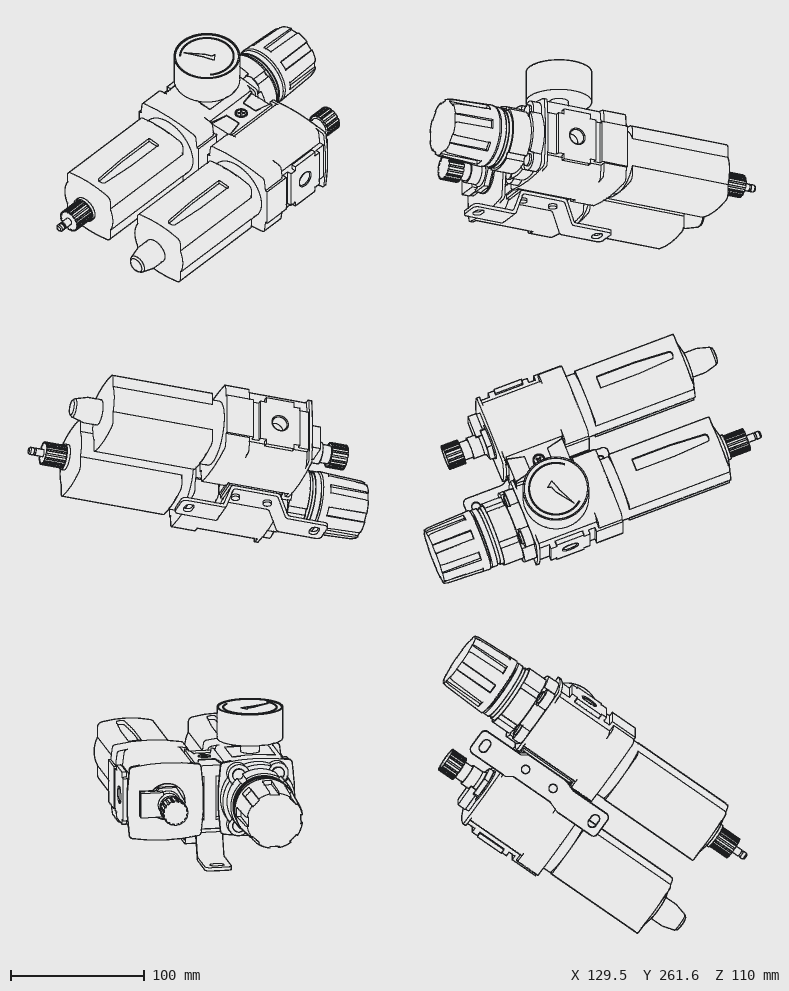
import cadquery as cq
import math

TOTAL_X = 129.5
UNIT_PITCH = 69.4
UNIT_X = UNIT_PITCH / 2
REGULATOR_X = -UNIT_X
LUBRICATOR_X = UNIT_X

PLATE_TOP = 26.2
PLATE_BOTTOM = 23.8
COLLAR_TOP = -23.5
HOUSING_BOTTOM = -42.1

CORNER_Z = 27.2
CROWN_Z = 29.8
COLLAR_CORNER_X = 27.0
COLLAR_CROWN_X = 29.0
CORE_CORNER_X = 21.5
CORE_CROWN_X = 23.8
COLLAR_ROUNDING = 2.5
CORE_ROUNDING = 3.1

NOTCH_HALF_X = 26.7
FACE_HALF_X = TOTAL_X / 2 - UNIT_X
BOSS_HALF_Z = 16.2
LOWER_BOSS_TOP = -21.0
PORT_FACE_HALF_Y = 15.7
PORT_LUG_HALF_Y = 11.0
PORT_LUG_HALF_Z = 20.2
PORT_DIAMETER = 11.5
PORT_MOUTH_DIAMETER = 13.0
PORT_MOUTH_DEPTH = 0.8
PORT_DEPTH = 10.5
DRILL_POINT_ANGLE = 118

FLANGE_RADIUS = 27.5
FLANGE_TOP = 35.5
BONNET_RADIUS = 24.3
BONNET_TOP = 50.5
RING_RADIUS = 22.8
RING_GROOVE_RADIUS = 43.7 / 2
RING_GROOVE_BOTTOM = 53.1
RING_GROOVE_TOP = 55.5
RING_TOP = 59.7
NECK_RADIUS = 18.8
NECK_TOP = 61.2
BOLT_X = 15.0
BOLT_Z = 19.6
BOLT_HEAD_RADIUS = 7.9
BOLT_HEAD_TOP = 33.0
BOLT_CAP_RADIUS = 4.7
BOLT_CAP_TOP = 34.5
BOLT_POCKET_RADIUS = 8.0
DRIVER_GROOVE_RADIUS = 2.5

KNOB_TOP = 97.6
KNOB_TOP_RADIUS = 22.0
KNOB_BASE_RADIUS = 46.9 / 2
KNOB_EDGE = 3.0
KNOB_EDGE_INSET = 0.8
KNOB_SLOT_COUNT = 8
KNOB_SLOT_WIDTH = 7.0
KNOB_SLOT_FLOOR = 20.0
KNOB_SLOT_BOTTOM = 67.0

GAUGE_RADIUS = 24.5
GAUGE_TOP = 63.0
GAUGE_BOTTOM = 39.0
GAUGE_STEM_RADIUS = 7.0
GAUGE_PAD_Z = 28.8
GAUGE_PAD_HALF_X = 16.5
GAUGE_PAD_HALF_Y = 14.7
DIAL_RADIUS = 23.5
DIAL_DEPTH = 0.5
SCALE_RADIUS = 20.5
SCALE_WIDTH = 0.8
SCALE_GAP_ANGLE = 100
MARK_HEIGHT = 0.3
NEEDLE = [(-15.5, -8.6), (-2.0, 1.0), (2.4, 2.5), (3.1, 5.5), (6.8, 0.8), (1.3, -1.3), (-1.5, -2.0)]

DOSER_X = 33.8
DOSER_FLANGE_RADIUS = 14.0
DOSER_FLANGE_TOP = 27.2
DOSER_NUT_FLATS = 23.3
DOSER_NUT_TOP = 31.1
DOSER_COLLAR_RADIUS = 16.5 / 2
DOSER_CONE_TOP = 33.8
DOSER_COLLAR_TOP = 42.1
DOSER_NECK_RADIUS = 14.0 / 2
DOSER_KNOB_RADIUS = 9.5
DOSER_KNOB_BOTTOM = 49.2
DOSER_KNOB_TOP = 61.8
DOSER_RIB_COUNT = 16
PLUG_LEFT = 38.0
PLUG_RIGHT = 55.0
PLUG_HALF_Z = 9.5
PLUG_STEP_TOP = 29.0
PLUG_TOP = 35.5
PLUG_STEP_INSET = 0.5

BOWL_RADIUS = 24.3
BOWL_SQUARE_TOP = -50.5
BOWL_HALF_X = 21.7
BOWL_CORNER_Z = 21.7
BOWL_CROWN_Z = 24.5
BOWL_ROUNDING = 4.2
BOWL_CONE_RADIUS = 10.7
BOWL_CONE_HEIGHT = 3.7
FILTER_BOWL_BOTTOM = -131.0
OIL_BOWL_BOTTOM = -129.3
WINDOW_LEFT = 1.0
WINDOW_WIDTH = 9.7
WINDOW_TOP_ABOVE_BOTTOM = 65.7
WINDOW_BEND_ABOVE_BOTTOM = 35.0
WINDOW_END_ABOVE_BOTTOM = 6.3
WINDOW_TAPER = 1.8
WINDOW_ROUNDING = 2.5
WINDOW_FLOOR_Z = 21.5

DRAIN_HUB_RADIUS = 9.7
DRAIN_HUB_BOTTOM = -137.0
DRAIN_KNOB_RADIUS = 8.6
DRAIN_KNOB_BOTTOM = -152.9
DRAIN_STEM_RADIUS = 5.5 / 2
DRAIN_GROOVE_RADIUS = 4.7 / 2
DRAIN_GROOVE_TOP = -159.1
DRAIN_GROOVE_BOTTOM = -160.5
DRAIN_TIP_RADIUS = 4.0 / 2
DRAIN_TIP_CHAMFER = 1.0
DRAIN_BOTTOM = -164.0
DRAIN_RIB_COUNT = 16

KNURL_GROOVE_DEPTH = 0.8
KNURL_GROOVE_WIDTH = 1.3

OUTLET_RADIUS = 9.7
OUTLET_TAPER_TOP = -143.5
OUTLET_TAPER_BOTTOM = -152.9
OUTLET_TAPER_RADIUS = 7.0
OUTLET_ROUND_RADIUS = 5.8
OUTLET_ROUND_BOTTOM = -154.5
OUTLET_END_RADIUS = 3.7
OUTLET_BOTTOM = -155.0

SPACER_HALF_Y = 22.2
SPACER_WEB_HALF_X = UNIT_X - FACE_HALF_X
SPACER_CLAMP_HALF_X = 11.0
SPACER_CLAMP_BOTTOM = 16.8
SPACER_TOP = 26.7
SPACER_FOOT_TOP = -23.8
SPACER_BOTTOM = -26.7
SPACER_FOOT_HALF_Y = 21.0
GRIP_OUTER_HALF_X = 9.5
GRIP_INNER_HALF_X = 6.3
GRIP_INNER_Y = 9.2
GRIP_INNER_DEPTH = 0.5
GRIP_OUTER_DEPTH = 1.5
SCREW_RADIUS = 9.2 / 2
SCREW_GAP = 0.8
SCREW_GAP_DEPTH = 1.3
SCREW_CROSS_LENGTH = 4.7
SCREW_CROSS_WIDTH = 1.0

BRACKET_HALF_X = 20.2 / 2
BRACKET_THICKNESS = 2.5
BRACKET_HALF_Y = 57.8
BRACKET_BOTTOM = -47.0
BRACKET_WEB_HALF_Y = 19.0
BRACKET_LEG_ANGLE = 20
BRACKET_BEND_RADIUS = 2.4
BRACKET_CORNER_RADIUS = 3.7
BRACKET_SLOT_Y = 49.7
BRACKET_SLOT_LENGTH = 10.5
BRACKET_SLOT_WIDTH = 6.5
BRACKET_PAD_Y = 12.5
BRACKET_PAD_RADIUS = 3.1
BRACKET_PAD_BOTTOM = -31.1


def turned(profile, x):
    """Solid of revolution about the Y direction at x; the profile lists (radius, y)."""
    return cq.Workplane("XY").polyline(profile).close().revolve(360, (0, 0), (0, 1)).translate((x, 0, 0))


def rod(x, z, radius, y_bottom, y_top):
    """Cylinder along Y."""
    return cq.Workplane("XZ", origin=(x, y_top, z)).circle(radius).extrude(y_top - y_bottom)


def block(x_range, y_range, z_range):
    """Box given by its limits along each axis."""
    (x0, x1), (y0, y1), (z0, z1) = x_range, y_range, z_range
    return cq.Workplane("XY").box(x1 - x0, y1 - y0, z1 - z0, centered=False).translate((x0, y0, z0))


def centred_block(x, half_x, y_range, half_z):
    return block((x - half_x, x + half_x), y_range, (-half_z, half_z))


def crowned_prism(x, y_range, half_x, side_x, corner_z, crown_z, rounding):
    """Prism along Y with crowned faces above and below; side_x is the half width at Z = 0."""
    y_bottom, y_top = y_range
    outline = cq.Workplane("XZ", origin=(x, y_top, 0)).moveTo(-half_x, -corner_z)
    outline = outline.threePointArc((0, -crown_z), (half_x, -corner_z))
    if side_x > half_x:
        outline = outline.threePointArc((side_x, 0), (half_x, corner_z))
    else:
        outline = outline.lineTo(half_x, corner_z)
    outline = outline.threePointArc((0, crown_z), (-half_x, corner_z))
    if side_x > half_x:
        outline = outline.threePointArc((-side_x, 0), (-half_x, -corner_z))
    prism = outline.close().extrude(y_top - y_bottom)
    return prism.edges("|Y").fillet(rounding)


def knurl_cutters(x, radius, y_bottom, y_top, count):
    """Small grooves along Y, spread evenly round a knob."""
    cutters = cq.Workplane("XY")
    for i in range(count):
        groove = block(
            (-KNURL_GROOVE_WIDTH / 2, KNURL_GROOVE_WIDTH / 2),
            (y_bottom, y_top),
            (radius - KNURL_GROOVE_DEPTH, radius + KNURL_GROOVE_DEPTH),
        )
        cutters = cutters.add(groove.rotate((0, 0, 0), (0, 1, 0), (i + 0.5) * 360 / count))
    return cutters.combine().translate((x, 0, 0))


def port(side):
    """Drilled port with a chamfered mouth in the outer side face; side is -1 or 1."""
    radius = PORT_DIAMETER / 2
    mouth = PORT_MOUTH_DIAMETER / 2
    tip = PORT_DEPTH + radius / math.tan(math.radians(DRILL_POINT_ANGLE / 2))
    face_x = side * (UNIT_X + FACE_HALF_X)
    profile = [(0, 0), (0, mouth), (PORT_MOUTH_DEPTH, radius), (PORT_DEPTH, radius), (tip, 0)]
    points = [(face_x - side * depth, r) for depth, r in profile]
    return cq.Workplane("XY").polyline(points).close().revolve(360, (0, 0), (1, 0))


def housing_block(x):
    """Body shared by both units: top plate, core, lower collar, side bosses and outer port."""
    def crowned_frame(y_range):
        return crowned_prism(
            x, y_range, COLLAR_CORNER_X, COLLAR_CROWN_X, CORNER_Z, CROWN_Z, COLLAR_ROUNDING
        )

    rise = CROWN_Z - CORNER_Z
    crown_radius = (COLLAR_CORNER_X ** 2 + rise ** 2) / (2 * rise)
    core_corner_z = CROWN_Z - crown_radius + math.sqrt(crown_radius ** 2 - CORE_CORNER_X ** 2)
    core_range = (COLLAR_TOP, PLATE_BOTTOM)
    body = crowned_prism(
        x, core_range, CORE_CORNER_X, CORE_CROWN_X, core_corner_z, CROWN_Z, CORE_ROUNDING
    )
    body = body.union(crowned_frame((PLATE_BOTTOM, PLATE_TOP)))
    body = body.union(crowned_frame((HOUSING_BOTTOM, COLLAR_TOP)))
    body = body.union(centred_block(x, NOTCH_HALF_X, core_range, BOSS_HALF_Z))
    body = body.union(centred_block(x, FACE_HALF_X, (HOUSING_BOTTOM, LOWER_BOSS_TOP), BOSS_HALF_Z))
    port_face_range = (-PORT_FACE_HALF_Y, PORT_FACE_HALF_Y)
    body = body.union(centred_block(x, FACE_HALF_X, port_face_range, BOSS_HALF_Z))
    side = math.copysign(1, x)
    lug_x = sorted([x + side * NOTCH_HALF_X, x + side * FACE_HALF_X])
    lug_y = (-PORT_LUG_HALF_Y, PORT_LUG_HALF_Y)
    body = body.union(block(lug_x, lug_y, (-PORT_LUG_HALF_Z, PORT_LUG_HALF_Z)))
    return body.cut(port(side))


def bonnet():
    """Round bonnet with its flange, four bolts, grip rings and the neck under the knob."""
    body = turned(
        [
            (0, PLATE_TOP), (FLANGE_RADIUS, PLATE_TOP), (FLANGE_RADIUS, FLANGE_TOP),
            (BONNET_RADIUS, FLANGE_TOP), (BONNET_RADIUS, BONNET_TOP),
            (RING_RADIUS, BONNET_TOP), (RING_RADIUS, RING_GROOVE_BOTTOM),
            (RING_GROOVE_RADIUS, RING_GROOVE_BOTTOM), (RING_GROOVE_RADIUS, RING_GROOVE_TOP),
            (RING_RADIUS, RING_GROOVE_TOP), (RING_RADIUS, RING_TOP),
            (NECK_RADIUS, RING_TOP), (NECK_RADIUS, NECK_TOP), (0, NECK_TOP),
        ],
        REGULATOR_X,
    )
    for side_x in (-1, 1):
        for side_z in (-1, 1):
            x = REGULATOR_X + side_x * BOLT_X
            z = side_z * BOLT_Z
            body = body.cut(rod(x, z, DRIVER_GROOVE_RADIUS, FLANGE_TOP, BONNET_TOP))
            body = body.cut(rod(x, z, BOLT_POCKET_RADIUS, BOLT_HEAD_TOP, FLANGE_TOP))
            body = body.union(rod(x, z, BOLT_HEAD_RADIUS, PLATE_TOP, BOLT_HEAD_TOP))
            body = body.union(rod(x, z, BOLT_CAP_RADIUS, BOLT_HEAD_TOP, BOLT_CAP_TOP))
    return body


def make_regulator_housing():
    body = housing_block(REGULATOR_X).union(bonnet())
    pad_x = (REGULATOR_X - GAUGE_PAD_HALF_X, REGULATOR_X + GAUGE_PAD_HALF_X)
    gauge_pad = block(pad_x, (-GAUGE_PAD_HALF_Y, GAUGE_PAD_HALF_Y), (GAUGE_PAD_Z, GAUGE_BOTTOM))
    return body.cut(gauge_pad)


def dosing_valve():
    """Hex nut, turned stem and knurled dosing knob on top of the lubricator."""
    stem = turned(
        [
            (0, PLATE_TOP), (DOSER_FLANGE_RADIUS, PLATE_TOP), (DOSER_FLANGE_RADIUS, DOSER_FLANGE_TOP),
            (DOSER_NUT_FLATS / 2, DOSER_FLANGE_TOP), (DOSER_NUT_FLATS / 2, DOSER_NUT_TOP),
            (DOSER_KNOB_RADIUS, DOSER_NUT_TOP), (DOSER_COLLAR_RADIUS, DOSER_CONE_TOP),
            (DOSER_COLLAR_RADIUS, DOSER_COLLAR_TOP), (DOSER_NECK_RADIUS, DOSER_COLLAR_TOP),
            (DOSER_NECK_RADIUS, DOSER_KNOB_BOTTOM), (DOSER_KNOB_RADIUS, DOSER_KNOB_BOTTOM),
            (DOSER_KNOB_RADIUS, DOSER_KNOB_TOP), (0, DOSER_KNOB_TOP),
        ],
        DOSER_X,
    )
    across_corners = DOSER_NUT_FLATS / math.cos(math.radians(30))
    nut = cq.Workplane("XZ", origin=(DOSER_X, DOSER_NUT_TOP, 0)).polygon(6, across_corners)
    stem = stem.union(nut.extrude(DOSER_NUT_TOP - PLATE_TOP))
    return stem.cut(
        knurl_cutters(DOSER_X, DOSER_KNOB_RADIUS, DOSER_KNOB_BOTTOM, DOSER_KNOB_TOP, DOSER_RIB_COUNT)
    )


def make_lubricator_housing():
    body = housing_block(LUBRICATOR_X).union(dosing_valve())
    plug_head = block((PLUG_LEFT, PLUG_RIGHT), (PLUG_STEP_TOP, PLUG_TOP), (-PLUG_HALF_Z, PLUG_HALF_Z))
    plug_base = block(
        (PLUG_LEFT + PLUG_STEP_INSET, PLUG_RIGHT - PLUG_STEP_INSET),
        (PLATE_TOP, PLUG_STEP_TOP),
        (-PLUG_HALF_Z + PLUG_STEP_INSET, PLUG_HALF_Z - PLUG_STEP_INSET),
    )
    return body.union(plug_head).union(plug_base)


def make_knob():
    """Slightly tapered adjusting knob with radial grip slots."""
    body = turned(
        [
            (0, NECK_TOP), (KNOB_BASE_RADIUS, NECK_TOP),
            (KNOB_TOP_RADIUS, KNOB_TOP - KNOB_EDGE),
            (KNOB_TOP_RADIUS - KNOB_EDGE_INSET, KNOB_TOP), (0, KNOB_TOP),
        ],
        0,
    )
    for i in range(KNOB_SLOT_COUNT):
        slot = block(
            (-KNOB_SLOT_WIDTH / 2, KNOB_SLOT_WIDTH / 2),
            (KNOB_SLOT_BOTTOM, KNOB_TOP),
            (KNOB_SLOT_FLOOR, KNOB_BASE_RADIUS),
        )
        body = body.cut(slot.rotate((0, 0, 0), (0, 1, 0), i * 360 / KNOB_SLOT_COUNT))
    return body.translate((REGULATOR_X, 0, 0))


def make_gauge():
    """Pressure gauge with its stem, sunk dial, scale arc and needle."""
    dial_z = GAUGE_TOP - DIAL_DEPTH
    body = cq.Workplane("XY").workplane(offset=GAUGE_PAD_Z).circle(GAUGE_STEM_RADIUS)
    body = body.extrude(GAUGE_BOTTOM - GAUGE_PAD_Z)
    case = cq.Workplane("XY").workplane(offset=GAUGE_BOTTOM).circle(GAUGE_RADIUS)
    body = body.union(case.extrude(GAUGE_TOP - GAUGE_BOTTOM))
    body = body.cut(cq.Workplane("XY").workplane(offset=dial_z).circle(DIAL_RADIUS).extrude(DIAL_DEPTH))

    dial = cq.Workplane("XY").workplane(offset=dial_z)
    scale = dial.circle(SCALE_RADIUS).circle(SCALE_RADIUS - SCALE_WIDTH).extrude(MARK_HEIGHT)
    gap_x = GAUGE_RADIUS * math.tan(math.radians(SCALE_GAP_ANGLE / 2))
    gap = dial.polyline([(0, 0), (-gap_x, -GAUGE_RADIUS), (gap_x, -GAUGE_RADIUS)]).close()
    scale = scale.cut(gap.extrude(MARK_HEIGHT))
    needle = dial.polyline(NEEDLE).close().extrude(MARK_HEIGHT)
    return body.union(scale).union(needle).translate((REGULATOR_X, 0, 0))


def bowl_shell(x, bottom):
    """Bowl with a round top, a crowned square lower part, a conical end and a level window."""
    cone_end = bottom - BOWL_CONE_HEIGHT
    body = turned(
        [
            (0, HOUSING_BOTTOM), (BOWL_RADIUS, HOUSING_BOTTOM), (BOWL_RADIUS, bottom),
            (BOWL_CONE_RADIUS, cone_end), (0, cone_end),
        ],
        x,
    )
    square = crowned_prism(
        x, (bottom, BOWL_SQUARE_TOP), BOWL_HALF_X, BOWL_HALF_X, BOWL_CORNER_Z, BOWL_CROWN_Z, BOWL_ROUNDING
    )
    left = x + WINDOW_LEFT
    right = left + WINDOW_WIDTH
    top = bottom + WINDOW_TOP_ABOVE_BOTTOM
    bend = bottom + WINDOW_BEND_ABOVE_BOTTOM
    end = bottom + WINDOW_END_ABOVE_BOTTOM
    window = cq.Workplane("XY").workplane(offset=WINDOW_FLOOR_Z).polyline(
        [
            (left, top), (right, top), (right, bend),
            (right - WINDOW_TAPER, end), (left + WINDOW_TAPER, end), (left, bend),
        ]
    ).close().extrude(BOWL_CROWN_Z - WINDOW_FLOOR_Z)
    window = window.edges("|Z").edges("<Y").fillet(WINDOW_ROUNDING)
    return body.union(square).cut(window)


def make_filter_bowl():
    """Bowl with the knurled drain knob and its grooved stem."""
    cone_end = FILTER_BOWL_BOTTOM - BOWL_CONE_HEIGHT
    drain = turned(
        [
            (0, cone_end), (DRAIN_HUB_RADIUS, cone_end), (DRAIN_HUB_RADIUS, DRAIN_HUB_BOTTOM),
            (DRAIN_KNOB_RADIUS, DRAIN_HUB_BOTTOM), (DRAIN_KNOB_RADIUS, DRAIN_KNOB_BOTTOM),
            (DRAIN_STEM_RADIUS, DRAIN_KNOB_BOTTOM), (DRAIN_STEM_RADIUS, DRAIN_GROOVE_TOP),
            (DRAIN_GROOVE_RADIUS, DRAIN_GROOVE_TOP), (DRAIN_GROOVE_RADIUS, DRAIN_GROOVE_BOTTOM),
            (DRAIN_STEM_RADIUS, DRAIN_GROOVE_BOTTOM), (DRAIN_STEM_RADIUS, DRAIN_BOTTOM + DRAIN_TIP_CHAMFER),
            (DRAIN_TIP_RADIUS, DRAIN_BOTTOM), (0, DRAIN_BOTTOM),
        ],
        REGULATOR_X,
    )
    drain = drain.cut(
        knurl_cutters(REGULATOR_X, DRAIN_KNOB_RADIUS, DRAIN_KNOB_BOTTOM, DRAIN_HUB_BOTTOM, DRAIN_RIB_COUNT)
    )
    return bowl_shell(REGULATOR_X, FILTER_BOWL_BOTTOM).union(drain)


def make_oil_bowl():
    """Bowl with the plain tapered outlet."""
    cone_end = OIL_BOWL_BOTTOM - BOWL_CONE_HEIGHT
    outlet = turned(
        [
            (0, cone_end), (OUTLET_RADIUS, cone_end), (OUTLET_RADIUS, OUTLET_TAPER_TOP),
            (OUTLET_TAPER_RADIUS, OUTLET_TAPER_BOTTOM), (OUTLET_ROUND_RADIUS, OUTLET_ROUND_BOTTOM),
            (OUTLET_END_RADIUS, OUTLET_BOTTOM), (0, OUTLET_BOTTOM),
        ],
        LUBRICATOR_X,
    )
    return bowl_shell(LUBRICATOR_X, OIL_BOWL_BOTTOM).union(outlet)


def grip_recess():
    """Tapered finger recess at the +Y end of the clamp, deeper towards the end."""
    plan = cq.Workplane("XY").polyline(
        [
            (-GRIP_INNER_HALF_X, GRIP_INNER_Y), (GRIP_INNER_HALF_X, GRIP_INNER_Y),
            (GRIP_OUTER_HALF_X, SPACER_HALF_Y), (-GRIP_OUTER_HALF_X, SPACER_HALF_Y),
        ]
    ).close().extrude(SPACER_TOP)
    slope = cq.Workplane("YZ").polyline(
        [
            (GRIP_INNER_Y, SPACER_TOP), (GRIP_INNER_Y, SPACER_TOP - GRIP_INNER_DEPTH),
            (SPACER_HALF_Y, SPACER_TOP - GRIP_OUTER_DEPTH), (SPACER_HALF_Y, SPACER_TOP),
        ]
    ).close().extrude(GRIP_OUTER_HALF_X, both=True)
    return plan.intersect(slope)


def make_spacer():
    """Web between the units with the front clamp, its finger recesses and clamp screw."""
    y_range = (-SPACER_HALF_Y, SPACER_HALF_Y)
    body = block((-SPACER_WEB_HALF_X, SPACER_WEB_HALF_X), y_range, (SPACER_FOOT_TOP, SPACER_TOP))
    clamp_x = (-SPACER_CLAMP_HALF_X, SPACER_CLAMP_HALF_X)
    foot_x = (-BRACKET_HALF_X, BRACKET_HALF_X)
    body = body.union(block(clamp_x, y_range, (SPACER_CLAMP_BOTTOM, SPACER_TOP)))
    body = body.union(block(foot_x, y_range, (SPACER_FOOT_TOP, -SPACER_CLAMP_BOTTOM)))
    foot_y = (-SPACER_FOOT_HALF_Y, SPACER_FOOT_HALF_Y)
    body = body.union(block(foot_x, foot_y, (SPACER_BOTTOM, SPACER_FOOT_TOP)))
    recess = grip_recess()
    body = body.cut(recess).cut(recess.mirror("XZ"))
    screw_plane = cq.Workplane("XY").workplane(offset=SPACER_TOP)
    screw_gap = screw_plane.circle(SCREW_RADIUS).circle(SCREW_RADIUS - SCREW_GAP).extrude(-SCREW_GAP_DEPTH)
    body = body.cut(screw_gap)
    for angle in (45, 135):
        arm = screw_plane.transformed(rotate=(0, 0, angle)).rect(SCREW_CROSS_LENGTH, SCREW_CROSS_WIDTH)
        body = body.cut(arm.extrude(-SCREW_GAP_DEPTH))
    return body


def make_bracket():
    """Bent sheet bracket: a web under the spacer, two sloping legs and two slotted feet."""
    lean = math.tan(math.radians(BRACKET_LEG_ANGLE))
    leg_width = BRACKET_THICKNESS / math.cos(math.radians(BRACKET_LEG_ANGLE))
    foot_top = BRACKET_BOTTOM + BRACKET_THICKNESS
    web_bottom = SPACER_BOTTOM - BRACKET_THICKNESS

    def leg_y(z):
        return BRACKET_WEB_HALF_Y + (SPACER_BOTTOM - z) * lean

    half = [
        (leg_y(SPACER_BOTTOM), SPACER_BOTTOM), (leg_y(foot_top), foot_top),
        (BRACKET_HALF_Y, foot_top), (BRACKET_HALF_Y, BRACKET_BOTTOM),
        (leg_y(BRACKET_BOTTOM) - leg_width, BRACKET_BOTTOM), (leg_y(web_bottom) - leg_width, web_bottom),
    ]
    outline = half + [(-y, z) for y, z in reversed(half)]
    sheet = cq.Workplane("YZ").polyline(outline).close().extrude(BRACKET_HALF_X, both=True)
    bends = cq.selectors.BoxSelector(
        (-BRACKET_HALF_X, -BRACKET_SLOT_Y, 2 * BRACKET_BOTTOM), (BRACKET_HALF_X, BRACKET_SLOT_Y, 0)
    )
    sheet = sheet.edges("|X").edges(bends).fillet(BRACKET_BEND_RADIUS)
    sheet = sheet.edges("|Z").edges("<Y or >Y").fillet(BRACKET_CORNER_RADIUS)
    slots = cq.Workplane("XY").workplane(offset=BRACKET_BOTTOM)
    slots = slots.pushPoints([(0, BRACKET_SLOT_Y), (0, -BRACKET_SLOT_Y)])
    slots = slots.slot2D(BRACKET_SLOT_LENGTH, BRACKET_SLOT_WIDTH).extrude(BRACKET_THICKNESS)
    pads = cq.Workplane("XY").workplane(offset=BRACKET_PAD_BOTTOM)
    pads = pads.pushPoints([(0, BRACKET_PAD_Y), (0, -BRACKET_PAD_Y)]).circle(BRACKET_PAD_RADIUS)
    return sheet.cut(slots).union(pads.extrude(web_bottom - BRACKET_PAD_BOTTOM))


regulator_housing = make_regulator_housing()
lubricator_housing = make_lubricator_housing()
knob = make_knob()
gauge = make_gauge()
filter_bowl = make_filter_bowl()
oil_bowl = make_oil_bowl()
spacer = make_spacer()
bracket = make_bracket()

result = cq.Compound.makeCompound(
    [
        regulator_housing.val(),
        lubricator_housing.val(),
        knob.val(),
        gauge.val(),
        filter_bowl.val(),
        oil_bowl.val(),
        spacer.val(),
        bracket.val(),
    ]
)